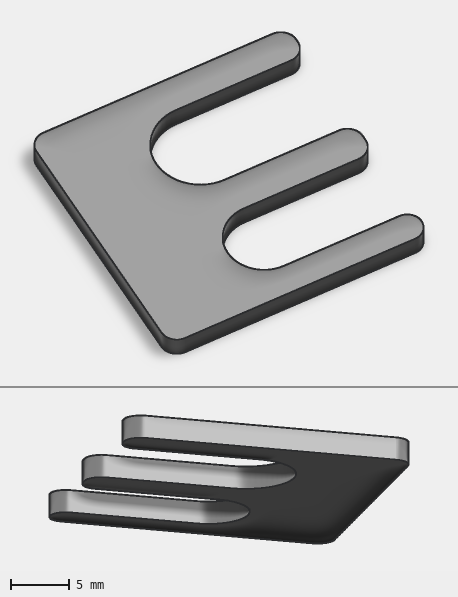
import cadquery as cq

side = 25.4
thickness = 2.0
corner_radius = 1.5
slim_tip_radius = 1.4
select_margin = 0.25

slot_end_y = 0.0
wide_slot_x = -5.08
wide_slot_width = 8.64
narrow_slot_x = 6.32
narrow_slot_width = 7.1


def slot_cutter(center_x, width):
    """Round-ended slot running from its end centre out through the +Y edge."""
    length = side / 2 - slot_end_y
    straight = (
        cq.Workplane("XY")
        .center(center_x, slot_end_y + length / 2)
        .rect(width, length)
        .extrude(thickness)
    )
    round_end = (
        cq.Workplane("XY")
        .center(center_x, slot_end_y)
        .circle(width / 2)
        .extrude(thickness)
    )
    return straight.union(round_end)


def round_tip(body, left_x, right_x, radius):
    """Round both vertical corners at the +Y end of one finger."""
    selector = cq.selectors.BoxSelector(
        (left_x - select_margin, side / 2 - select_margin, -select_margin),
        (right_x + select_margin, side / 2 + select_margin, thickness + select_margin),
    )
    return body.edges("|Z").edges(selector).fillet(radius)


plate = cq.Workplane("XY").rect(side, side).extrude(thickness)
plate = plate.edges("|Z and <Y").fillet(corner_radius)
plate = plate.cut(slot_cutter(wide_slot_x, wide_slot_width))
plate = plate.cut(slot_cutter(narrow_slot_x, narrow_slot_width))

wide_slot_left = wide_slot_x - wide_slot_width / 2
wide_slot_right = wide_slot_x + wide_slot_width / 2
narrow_slot_left = narrow_slot_x - narrow_slot_width / 2
narrow_slot_right = narrow_slot_x + narrow_slot_width / 2

fingers = [
    (-side / 2, wide_slot_left, corner_radius),
    (wide_slot_right, narrow_slot_left, corner_radius),
    (narrow_slot_right, side / 2, slim_tip_radius),
]
for left_x, right_x, tip_radius in fingers:
    plate = round_tip(plate, left_x, right_x, tip_radius)

result = plate